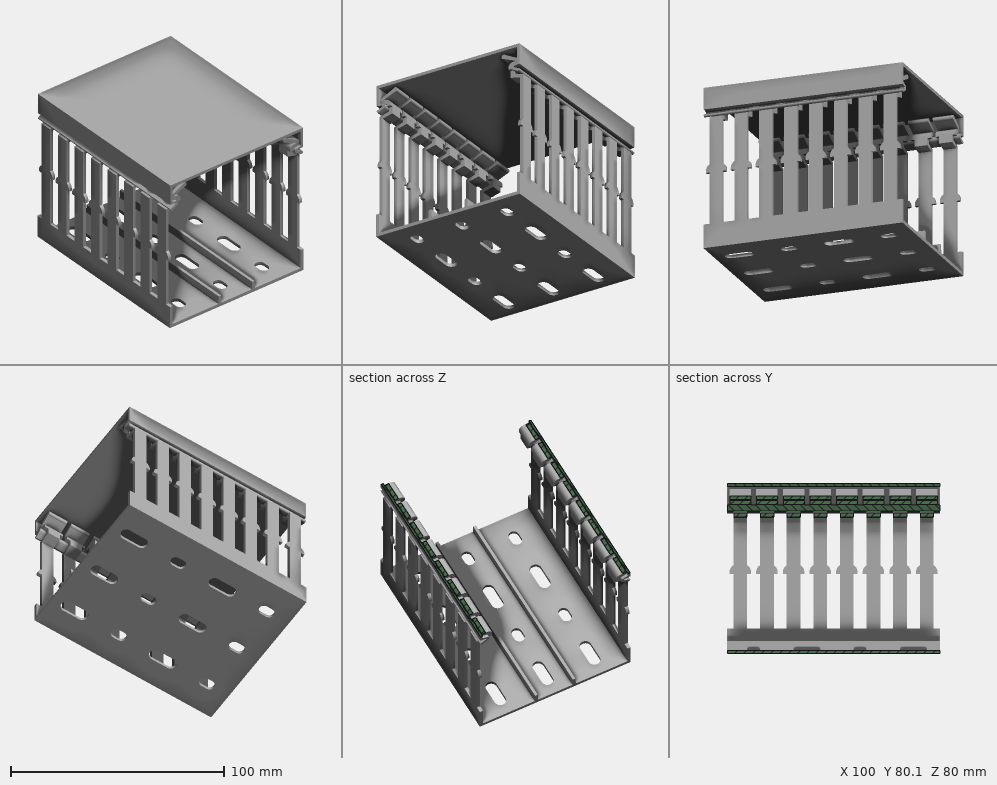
import cadquery as cq


length = 100.0

tray_width = 80.1
tray_wall = 1.7
wall_top = 65.0
wall_top_inner = 63.6

finger_count = 8
finger_pitch = length / finger_count
finger_width = 6.5
slot_bottom = 11.8

barb_bottom = 37.3
barb_shoulder = 38.2
barb_top = 41.4
barb_reach = 1.8

hook_bottom = 68.4
hook_outer = 5.1
hook_inner = 7.2

rib_offset = 10.0
rib_base = 2.1
rib_tip = 1.4
rib_top = 5.8

opening_pitch = 25.0
opening_columns = 4
opening_rows = 3
long_opening = (14.6, 5.7)
short_opening = (8.0, 5.1)

cover_width = 79.6
cover_top = 80.0
cover_plate = 1.6
cover_wall = 1.2
cover_wall_bottom = 69.2
lip_root = 70.4
lip_groove = 3.4
lip_tip_top = 66.7


class SideSketch:
    """Draws an outline in (depth, height) coordinates and extrudes it along the duct."""

    def __init__(self, width, start):
        self.half_width = width / 2
        self.path = cq.Workplane("YZ").moveTo(*self.place(start))

    def place(self, point):
        depth, height = point
        return (self.half_width - depth, height)

    def lines(self, *points):
        for point in points:
            self.path = self.path.lineTo(*self.place(point))

    def arc(self, middle, end):
        self.path = self.path.threePointArc(self.place(middle), self.place(end))

    def extrude(self):
        return self.path.close().extrude(length)


def both_sides(body):
    """Join a +Y side with its mirror image on the -Y side."""
    return body.union(body.mirror("XZ"))


def make_tray_side():
    """Side wall with the springy S-shaped hook along its top."""
    outline = SideSketch(tray_width, (0, 0))
    outline.lines((0, wall_top), (hook_outer, 66.4), (hook_outer, 69.1))
    outline.arc((4.9, 69.6), (4.3, 69.9))
    outline.lines((2.6, 70.3))
    outline.arc((1.5, 71.6), (2.8, 73.6))
    outline.lines((9.0, 76.8))
    outline.arc((10.9, 76.5), (9.8, 74.9))
    outline.lines((3.3, 72.1), (4.3, 71.9))
    outline.arc((6.5, 71.1), (hook_inner, 69.8))
    outline.lines((hook_inner, 64.9), (tray_wall, wall_top_inner), (tray_wall, 0))
    return both_sides(outline.extrude())


def make_wall_openings():
    """Everything above slot_bottom that is not a finger."""
    height = cover_top - slot_bottom
    block = cq.Workplane("XY").box(length, tray_width, height, centered=(False, True, False))
    block = block.translate((0, 0, slot_bottom))
    for index in range(finger_count):
        block = block.cut(make_finger((index + 0.5) * finger_pitch))
    return block


def make_finger(center):
    """Finger outline with its two barbs and wider hook, through the whole width of the tray."""
    half = finger_width / 2
    tip = half + barb_reach
    return (
        cq.Workplane("XZ", origin=(center, tray_width / 2, 0))
        .moveTo(0, 0)
        .lineTo(half, 0)
        .lineTo(half, barb_bottom)
        .lineTo(tip, barb_bottom)
        .lineTo(tip, barb_shoulder)
        .tangentArcPoint((half, barb_top), relative=False)
        .lineTo(half, hook_bottom)
        .lineTo(tip, hook_bottom)
        .lineTo(tip, cover_top)
        .lineTo(0, cover_top)
        .mirrorY()
        .extrude(tray_width)
    )


def make_rib(y):
    """Tapered floor rib along the whole duct, centered at this Y."""
    return (
        cq.Workplane("YZ")
        .polyline([
            (y - rib_base / 2, 0),
            (y - rib_tip / 2, rib_top),
            (y + rib_tip / 2, rib_top),
            (y + rib_base / 2, 0),
        ])
        .close()
        .extrude(length)
    )


def make_floor_openings(first_column, opening_size):
    """Round-ended openings in every second column, starting at first_column."""
    centers = [
        ((column + 0.5) * opening_pitch, (row - (opening_rows - 1) / 2) * opening_pitch)
        for column in range(first_column, opening_columns, 2)
        for row in range(opening_rows)
    ]
    return cq.Workplane("XY").pushPoints(centers).slot2D(*opening_size).extrude(tray_wall)


def make_tray():
    """Slotted side walls on a ribbed, perforated floor."""
    tray = make_tray_side().cut(make_wall_openings())
    floor = cq.Workplane("XY").box(length, tray_width, tray_wall, centered=(False, True, False))
    tray = tray.union(floor)
    for y in (-rib_offset, rib_offset):
        tray = tray.union(make_rib(y))
    tray = tray.cut(make_floor_openings(0, long_opening))
    return tray.cut(make_floor_openings(1, short_opening))


def make_cover_side():
    """Cover wall ending in a V-shaped lip that snaps under the hook of the tray."""
    outline = SideSketch(cover_width, (0, cover_top))
    outline.lines((0, cover_wall_bottom), (1.4, 69.1))
    outline.lines((lip_groove, 68.7), (lip_groove, 68.3), (0, lip_tip_top))
    outline.lines((0, 66.3))
    outline.arc((0.3, 65.8), (1.1, 65.6))
    outline.lines((4.2, 67.3))
    outline.arc((4.8, 68.5), (4.0, 69.7))
    outline.lines((cover_wall, lip_root), (cover_wall, cover_top))
    return both_sides(outline.extrude())


def make_cover():
    """Flat plate with a lipped wall along each side."""
    plate = cq.Workplane("XY").box(length, cover_width, cover_plate, centered=(False, True, False))
    return make_cover_side().union(plate.translate((0, 0, cover_top - cover_plate)))


tray = make_tray()
cover = make_cover()

result = cq.Compound.makeCompound([tray.val(), cover.val()])